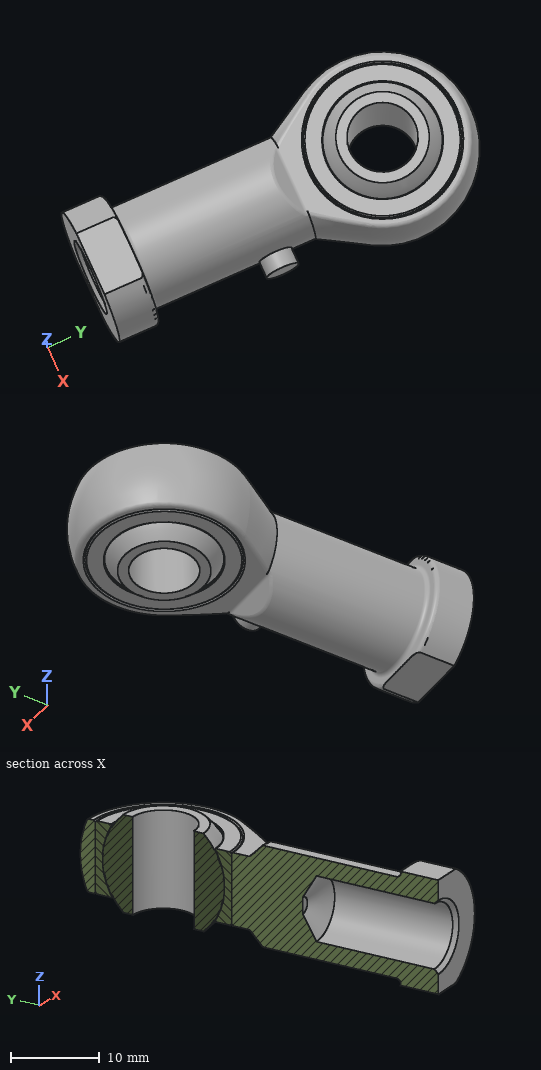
import cadquery as cq
import math

OVERALL_LENGTH = 47.0

HEAD_RADIUS = 10.95
HEAD_HALF_WIDTH = 4.5
NECK_ANGLE = 30.0
SLOPE_ANGLE = 45.0
FACE_FILLET = 0.5
BORE_CHAMFER = 0.2

SHANK_RADIUS = 12.5 / 2
TANGENT_RADIUS = HEAD_RADIUS * math.cos(math.radians(NECK_ANGLE))
TANGENT_Y = -HEAD_RADIUS * math.sin(math.radians(NECK_ANGLE))
SHANK_START_Y = TANGENT_Y - (TANGENT_RADIUS - SHANK_RADIUS) / math.tan(math.radians(NECK_ANGLE))
SHANK_END_Y = HEAD_RADIUS - OVERALL_LENGTH
FLANGE_RADIUS = 8.0
FLANGE_LENGTH = 5.0
FLANGE_FILLET = 0.5
FLANGE_ACROSS_FLATS = 14.0

SOCKET_RADIUS = 8.0 / 2
SOCKET_MOUTH_RADIUS = 4.5
SOCKET_DEPTH = 16.0
SOCKET_TIP_RADIUS = 2.0 / 2
SOCKET_POINT_ANGLE = 118.0

RACE_RADIUS = 17.85 / 2
RACE_HALF_WIDTH = 4.5
RACE_CHAMFER = 0.2
SEAT_CHAMFER = 0.25
BALL_RADIUS = 8.0
BALL_HALF_WIDTH = 6.0
BALL_BORE_RADIUS = 8.0 / 2

NIPPLE_RADIUS = 4.0 / 2
NIPPLE_STEM_RADIUS = 2.0 / 2
NIPPLE_STEM_DEPTH = 1.9
NIPPLE_Y = -16.05
NIPPLE_END_X = 8.22


def disc(radius, half_width):
    """Cylinder on the Z axis, symmetric about the XY plane."""
    return cq.Workplane("XY").circle(radius).extrude(half_width, both=True)


def make_eye():
    """Spherical eye and tangent conical neck between two flat faces with rounded rims."""
    eye = (
        cq.Workplane("XY")
        .moveTo(0, HEAD_RADIUS)
        .threePointArc((HEAD_RADIUS, 0), (TANGENT_RADIUS, TANGENT_Y))
        .lineTo(SHANK_RADIUS, SHANK_START_Y)
        .lineTo(0, SHANK_START_Y)
        .close()
        .revolve(360, (0, 0, 0), (0, 1, 0))
        .intersect(disc(2 * HEAD_RADIUS, HEAD_HALF_WIDTH))
    )
    return eye.faces("<Z or >Z").edges("not |X").fillet(FACE_FILLET)


def make_shank():
    """Round shank that slopes down to both flat faces of the eye."""
    length = SHANK_START_Y - SHANK_END_Y
    shank = cq.Workplane("XZ", origin=(0, SHANK_START_Y, 0)).circle(SHANK_RADIUS).extrude(length)
    for side in (-1, 1):
        shank = shank.cut(make_slope_cut(side))
    slopes = shank.faces("%PLANE").faces("not |Y")
    return slopes.edges("not |X").fillet(FACE_FILLET)


def make_slope_cut(side):
    """Block above the flat face at the given Z side, with a sloped end and a rounded corner."""
    corner_y = SHANK_START_Y - FACE_FILLET * math.tan(math.radians(SLOPE_ANGLE / 2))
    face_z = side * HEAD_HALF_WIDTH
    rise = HEAD_RADIUS - HEAD_HALF_WIDTH
    run = rise / math.tan(math.radians(SLOPE_ANGLE))
    block = (
        cq.Workplane("YZ")
        .moveTo(0, face_z)
        .lineTo(corner_y, face_z)
        .lineTo(corner_y - run, side * HEAD_RADIUS)
        .lineTo(0, side * HEAD_RADIUS)
        .close()
        .extrude(HEAD_RADIUS, both=True)
    )
    corner = cq.selectors.NearestToPointSelector((0, corner_y, face_z))
    return block.edges(corner).fillet(FACE_FILLET)


def make_flange():
    """End flange with a rounded shoulder, a fillet to the shank and two wrench flats."""
    top_y = SHANK_END_Y + FLANGE_LENGTH
    corner = FLANGE_FILLET * (1 - math.sqrt(0.5))
    flange = (
        cq.Workplane("XY")
        .moveTo(0, SHANK_END_Y)
        .lineTo(FLANGE_RADIUS, SHANK_END_Y)
        .lineTo(FLANGE_RADIUS, top_y - FLANGE_FILLET)
        .threePointArc(
            (FLANGE_RADIUS - corner, top_y - corner),
            (FLANGE_RADIUS - FLANGE_FILLET, top_y),
        )
        .lineTo(SHANK_RADIUS + FLANGE_FILLET, top_y)
        .threePointArc(
            (SHANK_RADIUS + corner, top_y + corner),
            (SHANK_RADIUS, top_y + FLANGE_FILLET),
        )
        .lineTo(0, top_y + FLANGE_FILLET)
        .close()
        .revolve(360, (0, 0, 0), (0, 1, 0))
    )
    flats = cq.Workplane("XY").box(2 * FLANGE_RADIUS, 2 * OVERALL_LENGTH, FLANGE_ACROSS_FLATS)
    return flange.intersect(flats)


def make_socket():
    """Drilled hole in the shank end, with a chamfered mouth and a flat-tipped cone."""
    mouth_chamfer = SOCKET_MOUTH_RADIUS - SOCKET_RADIUS
    cone_start_y = SHANK_END_Y + SOCKET_DEPTH
    cone_depth = (SOCKET_RADIUS - SOCKET_TIP_RADIUS) / math.tan(math.radians(SOCKET_POINT_ANGLE / 2))
    return (
        cq.Workplane("XY")
        .moveTo(0, SHANK_END_Y)
        .lineTo(SOCKET_MOUTH_RADIUS, SHANK_END_Y)
        .lineTo(SOCKET_RADIUS, SHANK_END_Y + mouth_chamfer)
        .lineTo(SOCKET_RADIUS, cone_start_y)
        .lineTo(SOCKET_TIP_RADIUS, cone_start_y + cone_depth)
        .lineTo(0, cone_start_y + cone_depth)
        .close()
        .revolve(360, (0, 0, 0), (0, 1, 0))
    )


def make_nipple():
    """Grease nipple: a plain head on the +X side of the shank, with a stem set into it."""
    stem_start_x = SHANK_RADIUS - NIPPLE_STEM_DEPTH
    head = (
        cq.Workplane("YZ", origin=(SHANK_RADIUS, NIPPLE_Y, 0))
        .circle(NIPPLE_RADIUS)
        .extrude(NIPPLE_END_X - SHANK_RADIUS)
    )
    stem = (
        cq.Workplane("YZ", origin=(stem_start_x, NIPPLE_Y, 0))
        .circle(NIPPLE_STEM_RADIUS)
        .extrude(NIPPLE_STEM_DEPTH)
    )
    return head.union(stem)


def make_housing(nipple):
    """Eye, neck, shank and flange in one solid, with the bearing bore, socket and nipple hole."""
    housing = make_eye().union(make_shank()).union(make_flange())
    bore = disc(RACE_RADIUS, HEAD_HALF_WIDTH)
    for side in (-1, 1):
        bore = bore.union(make_bore_chamfer(side))
    return housing.cut(bore).cut(make_socket()).cut(nipple)


def make_bore_chamfer(side):
    """Cone that breaks the bearing bore edge on the head face at the given Z side."""
    face = cq.Vector(0, 0, side * HEAD_HALF_WIDTH)
    inward = cq.Vector(0, 0, -side)
    return cq.Workplane(
        cq.Solid.makeCone(RACE_RADIUS + BORE_CHAMFER, RACE_RADIUS, BORE_CHAMFER, face, inward)
    )


def make_race():
    """Outer ring of the bearing with a spherical seat for the ball."""
    race = disc(RACE_RADIUS, RACE_HALF_WIDTH).edges("%CIRCLE").chamfer(RACE_CHAMFER)
    race = race.cut(cq.Workplane("XY").sphere(BALL_RADIUS))
    inner_rims = race.faces("<Z or >Z").edges(cq.selectors.RadiusNthSelector(0))
    return inner_rims.chamfer(SEAT_CHAMFER)


def make_ball():
    """Truncated ball with a through bore."""
    ball = cq.Workplane("XY").sphere(BALL_RADIUS).intersect(disc(BALL_RADIUS, BALL_HALF_WIDTH))
    return ball.cut(disc(BALL_BORE_RADIUS, BALL_HALF_WIDTH))


nipple = make_nipple()
housing = make_housing(nipple)
race = make_race()
ball = make_ball()
result = cq.Compound.makeCompound([housing.val(), race.val(), ball.val(), nipple.val()])